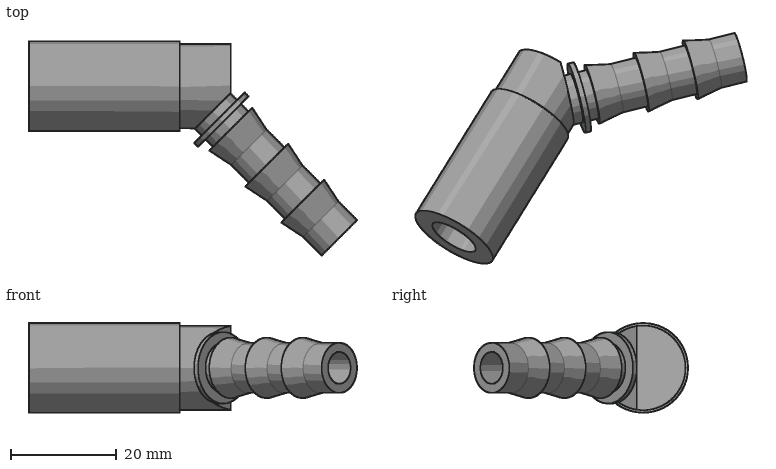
import cadquery as cq
import math

barrel_diameter = 17.0
barrel_length = 28.55
neck_diameter = 16.0
neck_end = 38.15
socket_diameter = 9.5
socket_depth = 20.0
bore_diameter = 6.0

bend_angle = 45
bend_x = 30.0
stem_diameter = 9.5
stem_end = 40.5
seat_distance = 6.65

collar_diameter = 13.5
collar_offset = 1.8
collar_thickness = 1.05
barb_diameter = 11.5
barb_length = 4.8
barb_pitch = 9.6
first_barb_offset = 4.85
barb_count = 3

cut_margin = 3.1

bend_radians = math.radians(bend_angle)
stem_direction = cq.Vector(math.cos(bend_radians), -math.sin(bend_radians), 0)
bend_point = cq.Vector(bend_x, 0, 0)


def stem_point(distance):
    """Point on the stem axis at a distance from the bend point."""
    return bend_point + stem_direction * distance


def stem_plane(distance):
    """Plane square to the stem axis, with its normal pointing to the stem end."""
    return cq.Plane(origin=stem_point(distance), xDir=(0, 0, 1), normal=stem_direction)


def straight_body():
    """Stepped cylinder with one lower corner of the neck cut off square to the stem."""
    barrel = cq.Workplane("YZ").circle(barrel_diameter / 2).extrude(barrel_length)
    neck = cq.Workplane("YZ").circle(neck_diameter / 2).extrude(neck_end)
    corner = cq.Workplane(stem_plane(seat_distance)).rect(2 * neck_end, 2 * neck_end).extrude(neck_end)
    return barrel.union(neck.cut(corner))


def collar():
    start = seat_distance + collar_offset
    return cq.Workplane(stem_plane(start)).circle(collar_diameter / 2).extrude(collar_thickness)


def barb(start):
    """Cone that is widest at its start and narrows to the stem diameter."""
    cone = cq.Solid.makeCone(
        barb_diameter / 2,
        stem_diameter / 2,
        barb_length,
        pnt=stem_point(start),
        dir=stem_direction,
    )
    return cq.Workplane(cone)


def hose_stem():
    stem = cq.Workplane(stem_plane(seat_distance)).circle(stem_diameter / 2).extrude(stem_end - seat_distance)
    stem = stem.union(collar())
    for index in range(barb_count):
        stem = stem.union(barb(seat_distance + first_barb_offset + index * barb_pitch))
    return stem


def mitred_bore():
    """Through passage that follows both axes and is mitred at the bend point."""
    outlet = stem_point(stem_end + cut_margin)
    path = cq.Workplane("XY").moveTo(-cut_margin, 0).lineTo(bend_x, 0).lineTo(outlet.x, outlet.y)
    section = cq.Workplane("YZ", origin=(-cut_margin, 0, 0)).circle(bore_diameter / 2)
    return section.sweep(path, transition="right")


def socket():
    return cq.Workplane("YZ").circle(socket_diameter / 2).extrude(socket_depth)


result = straight_body().union(hose_stem()).cut(socket()).cut(mitred_bore()).solids()